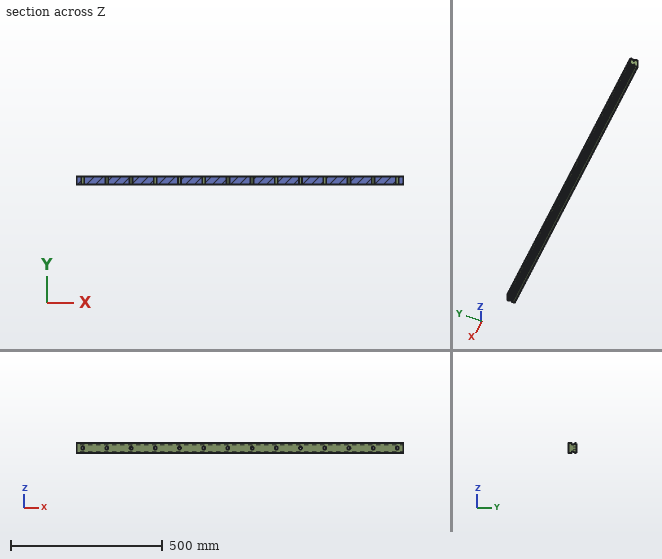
import cadquery as cq
import math

length = 1080.0
height = 27.5
width = 34.0
half_width = width / 2


base_chamfer = 1.5
shoulder_height = 9.75
shoulder_angle = 60.0

flank_angle = 30.0
valley_half_width = 10.5
flank_end_height = 20.5

rib_start_height = 23.3
lower_groove_sag = 0.7
corner_groove_centre = (26.8, 16.1)
corner_groove_radius = 3.15

hole_diameter = 9.0
hole_pitch = 80.0
end_distance = 20.0


def arc_midpoint(start, end, sag):
    """Midpoint of an arc from start to end in (Y, Z), sunk into the section."""
    (y1, z1), (y2, z2) = start, end
    chord = math.hypot(y2 - y1, z2 - z1)
    return (
        (y1 + y2) / 2 + sag * (z2 - z1) / chord,
        (z1 + z2) / 2 - sag * (y2 - y1) / chord,
    )


def make_bar():
    """Extrude the mirrored cross-section along X, centred on the origin."""
    shoulder_drop = half_width - valley_half_width
    valley_height = shoulder_height + shoulder_drop / math.tan(math.radians(shoulder_angle))
    flank_rise = (flank_end_height - valley_height) * math.tan(math.radians(flank_angle))
    flank_end = (flank_end_height, valley_half_width + flank_rise)
    rib_start = (rib_start_height, half_width)
    centre_y, centre_z = corner_groove_centre
    rib_offset = math.sqrt(corner_groove_radius**2 - (half_width - centre_z) ** 2)
    rib_end = (centre_y - rib_offset, half_width)
    crown_offset = math.sqrt(corner_groove_radius**2 - (height - centre_y) ** 2)
    crown_edge = (height, centre_z - crown_offset)
    diagonal = corner_groove_radius / math.sqrt(2)
    corner_groove_mid = (centre_y - diagonal, centre_z - diagonal)
    return (
        cq.Workplane("YZ", origin=(-length / 2, 0, 0))
        .moveTo(0, 0)
        .lineTo(0, half_width - base_chamfer)
        .lineTo(base_chamfer, half_width)
        .lineTo(shoulder_height, half_width)
        .lineTo(valley_height, valley_half_width)
        .lineTo(*flank_end)
        .threePointArc(arc_midpoint(flank_end, rib_start, lower_groove_sag), rib_start)
        .lineTo(*rib_end)
        .threePointArc(corner_groove_mid, crown_edge)
        .lineTo(height, 0)
        .mirrorX()
        .extrude(length)
    )


def mounting_holes():
    """Evenly pitched cylinders through the full height of the rail."""
    hole_count = 1 + round((length - 2 * end_distance) / hole_pitch)
    first_hole = -length / 2 + end_distance
    centres = [(first_hole + i * hole_pitch, 0) for i in range(hole_count)]
    head_plane = cq.Workplane("XZ", origin=(0, height, 0))
    return head_plane.pushPoints(centres).circle(hole_diameter / 2).extrude(height)


result = make_bar().cut(mounting_holes())